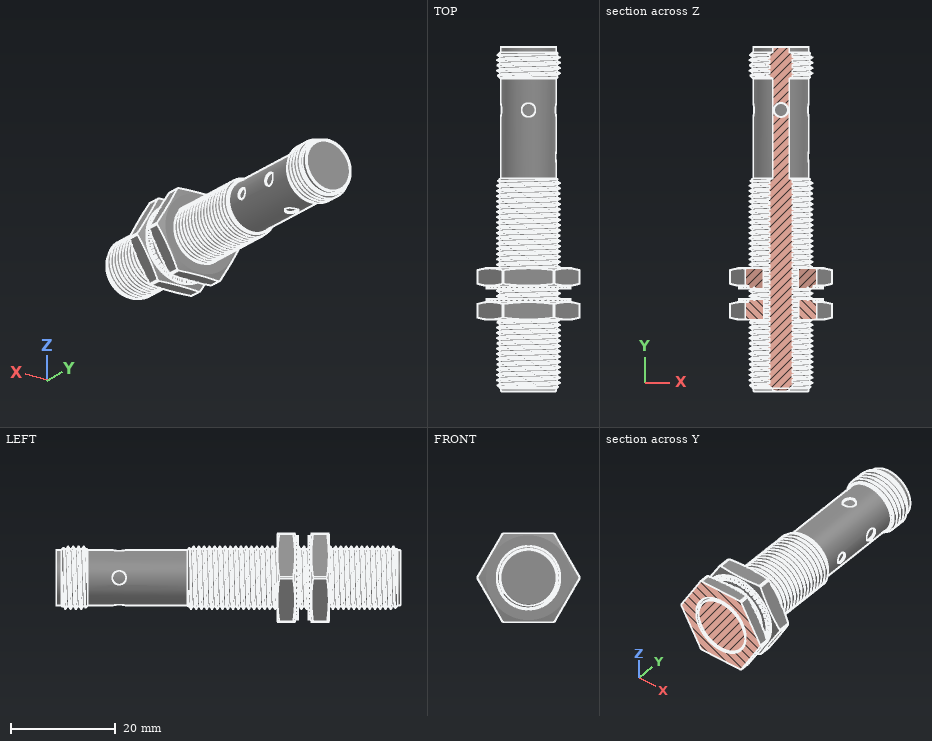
import cadquery as cq
import math


total_length = 65.7
body_radius = 5.3

cap_thickness = 0.6
cap_edge_fillet = 0.3

thread_diameter = 12.0
thread_radius = thread_diameter / 2
bore_clearance = 0.03
pitch = thread_diameter / 12
root_radius = 5.5
ridge_width = 0.6
ridge_embed = 0.05
thread_depth = thread_radius - root_radius
envelope_margin = 1.0
main_ridge_pieces = 3
plug_ridge_pieces = 1
main_thread_start = cap_thickness
main_thread_end = 40.7
main_first_crest = -0.3
plug_thread_start = 59.65
plug_thread_end = 64.7
plug_first_crest = 58.7

core_radius = 5.0
core_start = 42.05
light_height = 53.7
light_radius = 1.3
light_count = 4
button_height = 44.75
button_radius = 1.1

across_flats = 17.0
corner_diameter = 19.45
nut_height = 4.0
hex_height = 3.5
nut_face_radius = 8.1
nut_chamfer = 0.43
collar_radius = 8.0
tooth_count = 45
tooth_depth = 0.45
tooth_gap = 0.6
tooth_length = 0.85
front_nut_face = 13.65
rear_nut_face = 23.6


def cylinder(radius, start, end):
    """Cylinder on the axis between two heights."""
    return cq.Workplane("XY").workplane(offset=start).circle(radius).extrude(end - start)


def revolved(points):
    """Solid of revolution from (radius, height) points."""
    return cq.Workplane("XZ").polyline(points).close().revolve(360, (0, 0, 0), (0, 1, 0))


def lay_down(body):
    """Turn a standing body so that its axis points along +Y."""
    return body.rotate((0, 0, 0), (1, 0, 0), -90)


def ridge_piece(turns):
    """Helical triangular ridge, right-handed, with its first crest at height zero."""
    path = cq.Workplane(cq.Wire.makeHelix(pitch, turns * pitch, root_radius))
    inner_radius = root_radius - ridge_embed
    slope = ridge_width / 2 / thread_depth
    half_base = slope * (thread_radius - inner_radius)
    profile = [(inner_radius, -half_base), (thread_radius, 0), (inner_radius, half_base)]
    return cq.Workplane("XZ").polyline(profile).close().sweep(path, isFrenet=True)


def threaded_section(start, end, first_crest, pieces):
    """Root cylinder with a helical ridge made of equal pieces end to end, both ends chamfered."""
    turns = math.ceil((end + thread_depth - first_crest) / pitch / pieces)
    section = cylinder(root_radius, start - root_radius, end + root_radius)
    for i in range(pieces):
        ridge = ridge_piece(turns).translate((0, 0, first_crest + i * turns * pitch))
        section = section.union(ridge, clean=False)
    envelope = revolved([
        (0, start),
        (body_radius, start),
        (body_radius + envelope_margin, start + envelope_margin),
        (body_radius + envelope_margin, end - envelope_margin),
        (body_radius, end),
        (0, end),
    ])
    return section.intersect(envelope, clean=False)


def radial_hole(radius, height, angle):
    """Cutter that runs from the axis outward through one side of the wall."""
    hole = cq.Workplane("YZ").circle(radius).extrude(thread_radius)
    return hole.rotate((0, 0, 0), (0, 0, 1), angle).translate((0, 0, height))


def make_housing():
    """Threaded tube, closed at the sensing end, with round windows in its plain shank."""
    main_thread = threaded_section(
        main_thread_start, main_thread_end, main_first_crest, main_ridge_pieces
    )
    plug_thread = threaded_section(
        plug_thread_start, plug_thread_end, plug_first_crest, plug_ridge_pieces
    )
    housing = cylinder(body_radius, main_thread_end, plug_thread_start)
    housing = housing.union(cylinder(body_radius, plug_thread_end, total_length))
    housing = housing.union(main_thread, clean=False)
    housing = housing.union(plug_thread, clean=False)
    housing = housing.cut(cylinder(core_radius, core_start, total_length), clean=False)
    for i in range(light_count):
        window = radial_hole(light_radius, light_height, i * 360 / light_count)
        housing = housing.cut(window, clean=False)
    return housing.cut(radial_hole(button_radius, button_height, 0), clean=False)


def make_core():
    """Round core that fills the housing bore behind the windows."""
    return cylinder(core_radius, core_start, total_length)


def make_cap():
    """Disc that closes the sensing end, with a rounded front edge."""
    return cylinder(body_radius, 0, cap_thickness).faces("<Z").edges().fillet(cap_edge_fillet)


def tooth_notches():
    """V-shaped radial notches around the end face of a nut's collar."""
    notch = (
        cq.Workplane("YZ")
        .workplane(offset=collar_radius - tooth_length)
        .polyline([
            (-tooth_gap / 2, nut_height),
            (0, nut_height - tooth_depth),
            (tooth_gap / 2, nut_height),
        ])
        .close()
        .extrude(2 * tooth_length)
    )
    tooth_angle = 360 / tooth_count
    first_notch = -90 + tooth_angle / 2
    cutters = [
        notch.val().rotate(cq.Vector(), cq.Vector(0, 0, 1), first_notch + i * tooth_angle)
        for i in range(tooth_count)
    ]
    return cq.Workplane(cq.Compound.makeCompound(cutters))


def make_nut():
    """Hexagon nut standing on its plain face, with the toothed collar on top."""
    corner_radius = corner_diameter / 2
    sharp_corner_diameter = across_flats / math.cos(math.pi / 6)
    hexagon = cq.Workplane("XY").polygon(6, sharp_corner_diameter).extrude(nut_height)
    envelope = revolved([
        (0, 0),
        (nut_face_radius, 0),
        (corner_radius, nut_chamfer),
        (corner_radius, hex_height - nut_chamfer),
        (collar_radius, hex_height),
        (collar_radius, nut_height),
        (0, nut_height),
    ])
    nut = hexagon.intersect(envelope).cut(tooth_notches())
    return nut.cut(cylinder(thread_radius + bore_clearance, 0, nut_height))


def make_nuts():
    """Two nuts with their toothed collars facing each other."""
    front_nut = make_nut().translate((0, 0, front_nut_face))
    rear_nut = make_nut().rotate((0, 0, 0), (0, 1, 0), 180).translate((0, 0, rear_nut_face))
    return [front_nut, rear_nut]


bodies = [make_housing(), make_core(), make_cap(), *make_nuts()]
result = cq.Compound.makeCompound([lay_down(body).val() for body in bodies])